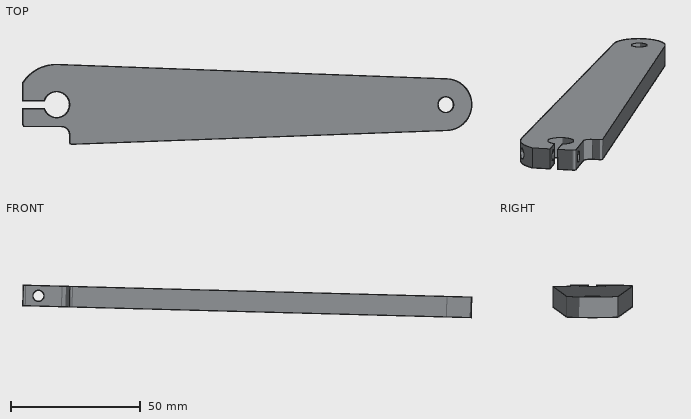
import cadquery as cq
import math


thickness = 8.0
bore_spacing = 150.0
tip_drop = 4.0
head_radius = 15.52
tip_radius = 10.0
tip_hole_diameter = 6.0

clamp_bore_diameter = 10.0
slot_width = 3.0
head_end_x = -13.0
jaw_y = -8.5
shoulder_x = 5.0
notch_fillet = 3.0
corner_fillet = 1.0

screw_hole_diameter = 4.2
screw_hole_x = -7.0

taper_angle = math.asin((head_radius - tip_radius) / bore_spacing)
tilt_angle = math.degrees(math.asin(tip_drop / bore_spacing))


def head_point(angle):
    """Point on the head circle at an angle from +X."""
    return (head_radius * math.cos(angle), head_radius * math.sin(angle))


def tip_point(angle):
    """Point on the tip circle at an angle from +X."""
    return (bore_spacing + tip_radius * math.cos(angle), tip_radius * math.sin(angle))


def arm_blank():
    """Tapered arm with the stepped lower jaw and rounded corners."""
    tangent_angle = math.pi / 2 - taper_angle
    head_corner_angle = math.acos(head_end_x / head_radius)
    head_middle_angle = (tangent_angle + head_corner_angle) / 2
    shoulder_y = shoulder_x * math.tan(taper_angle) - head_radius / math.cos(taper_angle)

    blank = (
        cq.Workplane("XY")
        .workplane(offset=-thickness / 2)
        .moveTo(head_end_x, jaw_y)
        .lineTo(*head_point(head_corner_angle))
        .threePointArc(head_point(head_middle_angle), head_point(tangent_angle))
        .lineTo(*tip_point(tangent_angle))
        .threePointArc(tip_point(0), tip_point(-tangent_angle))
        .lineTo(shoulder_x, shoulder_y)
        .lineTo(shoulder_x, jaw_y)
        .close()
        .extrude(thickness)
    )
    blank = fillet_corner(blank, shoulder_x, jaw_y, notch_fillet)
    blank = fillet_corner(blank, shoulder_x, shoulder_y, corner_fillet)
    return fillet_corner(blank, head_end_x, jaw_y, corner_fillet)


def fillet_corner(body, x, y, radius):
    """Round the upright edge at the given plan position."""
    return body.edges(cq.selectors.NearestToPointSelector((x, y, 0))).fillet(radius)


def upright_bore(x, diameter):
    """Cutter for a bore through the arm thickness."""
    return cq.Workplane("XY").center(x, 0).circle(diameter / 2).extrude(thickness, both=True)


def clamp_slot():
    """Cutter for the slot from the jaw end face into the clamp bore."""
    return cq.Workplane("XY").box(-head_end_x, slot_width, thickness).translate((head_end_x / 2, 0, 0))


def screw_hole():
    """Cutter for the clamp screw hole across both jaws."""
    return (
        cq.Workplane("XZ")
        .center(screw_hole_x, 0)
        .circle(screw_hole_diameter / 2)
        .extrude(head_radius, both=True)
    )


arm = (
    arm_blank()
    .cut(upright_bore(0, clamp_bore_diameter))
    .cut(upright_bore(bore_spacing, tip_hole_diameter))
    .cut(clamp_slot())
    .cut(screw_hole())
)
result = arm.rotate((0, 0, 0), (0, 1, 0), tilt_angle)